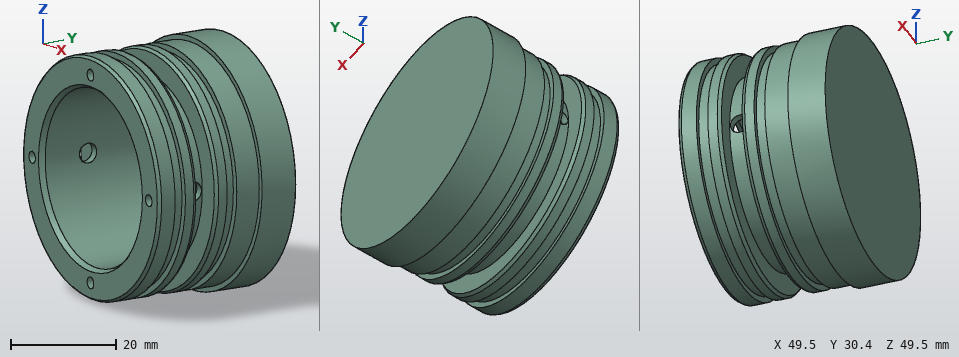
import cadquery as cq
import math

length = 30.45
flange_radius = 24.75
body_radius = 23.75
shoulder_y = 22.85

ring_groove_radius = 22.6
front_ring_start = 3.75
front_ring_end = 6.1
rear_ring_start = 15.55
rear_ring_end = 17.75
deep_groove_radius = 19.1
deep_groove_start = 8.7
deep_groove_end = 12.95

chamfer_length = 0.7
chamfer_depth = 0.45

bore_radius = 17.5
bore_chamfer_depth = 0.65
bore_chamfer_length = 1.1
floor_thickness = 2.95

cross_hole_diameter = 3.85

face_hole_count = 4
face_hole_radius = 1.15
face_hole_circle_radius = 20.35
face_hole_depth = 3.45
drill_point_angle = 118


def make_body():
    chamfered_radius = body_radius - chamfer_depth
    profile = [
        (0, 0),
        (chamfered_radius, 0),
        (body_radius, chamfer_length),
        (body_radius, front_ring_start),
        (ring_groove_radius, front_ring_start),
        (ring_groove_radius, front_ring_end),
        (body_radius, front_ring_end),
        (body_radius, deep_groove_start - chamfer_length),
        (chamfered_radius, deep_groove_start),
        (deep_groove_radius, deep_groove_start),
        (deep_groove_radius, deep_groove_end),
        (chamfered_radius, deep_groove_end),
        (body_radius, deep_groove_end + chamfer_length),
        (body_radius, rear_ring_start),
        (ring_groove_radius, rear_ring_start),
        (ring_groove_radius, rear_ring_end),
        (body_radius, rear_ring_end),
        (body_radius, shoulder_y),
        (flange_radius, shoulder_y),
        (flange_radius, length),
        (0, length),
    ]
    return revolve_about_y(profile)


def revolve_about_y(profile):
    return cq.Workplane("XY").polyline(profile).close().revolve(360, (0, 0, 0), (0, 1, 0))


def make_bore():
    bore_depth = length - floor_thickness
    profile = [
        (0, 0),
        (bore_radius + bore_chamfer_depth, 0),
        (bore_radius, bore_chamfer_length),
        (bore_radius, bore_depth),
        (0, bore_depth),
    ]
    return revolve_about_y(profile)


def make_cross_hole():
    hole_y = (deep_groove_start + deep_groove_end) / 2
    return (
        cq.Workplane("YZ")
        .center(hole_y, 0)
        .circle(cross_hole_diameter / 2)
        .extrude(flange_radius, both=True)
    )


def make_face_hole(angle):
    point_length = face_hole_radius / math.tan(math.radians(drill_point_angle / 2))
    profile = [
        (0, 0),
        (face_hole_radius, 0),
        (face_hole_radius, face_hole_depth),
        (0, face_hole_depth + point_length),
    ]
    hole = revolve_about_y(profile).translate((face_hole_circle_radius, 0, 0))
    return hole.rotate((0, 0, 0), (0, 1, 0), angle)


result = make_body().cut(make_bore()).cut(make_cross_hole())
for index in range(face_hole_count):
    result = result.cut(make_face_hole(index * 360 / face_hole_count))